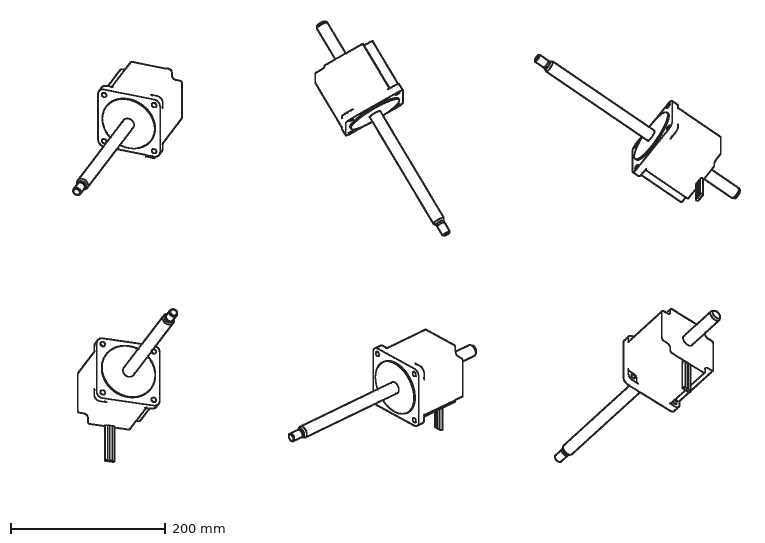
import cadquery as cq

frame = 86.31
housing_length = 78.6
flange_thickness = 9.9
mount_pitch = 69.6
mount_hole_diameter = 6.5
flange_corner_radius = (frame - mount_pitch) / 2
pilot_diameter = 73.025
pilot_height = 2.0

notch_wall = 14.0
notch_inner_radius = 5.5
notch_outer_radius = 3.0

wire_count = 4
wire_diameter = 4.0
wire_pitch = 3.0
wire_back_gap = 0.3
wire_length = 50.0

total_length = 323.85
shaft_diameter = 15.875
shaft_back_length = 58.7
taper_length = 2.9
taper_end_diameter = 12.7
neck_length = 2.8
neck_diameter = 11.0
journal_length = 15.0
journal_diameter = 11.1
journal_chamfer_length = 1.0
journal_chamfer_depth = 1.3

half_frame = frame / 2
shaft_back = housing_length + shaft_back_length
shaft_front = shaft_back - total_length


def rod(diameter, start, end):
    """Round rod on the Y axis from Y = start to Y = end."""
    return cq.Workplane("XZ", origin=(0, start, 0)).circle(diameter / 2).extrude(start - end)


def corner_notch():
    """Notch for the +X +Z edge, with a rounded inner corner and rounded lips."""
    length = housing_length - flange_thickness
    wall = half_frame - notch_wall
    lip_start = wall - notch_outer_radius
    lip_end = half_frame - notch_outer_radius
    return (
        cq.Workplane("XZ", origin=(0, flange_thickness, 0))
        .moveTo(lip_start, half_frame)
        .radiusArc((wall, lip_end), notch_outer_radius)
        .lineTo(wall, wall + notch_inner_radius)
        .radiusArc((wall + notch_inner_radius, wall), -notch_inner_radius)
        .lineTo(lip_end, wall)
        .radiusArc((half_frame, lip_start), notch_outer_radius)
        .lineTo(half_frame, half_frame)
        .close()
        .extrude(-length)
    )


def lead_wires():
    """Row of round wires hanging from the bottom of the housing."""
    row_y = housing_length - wire_back_gap - wire_diameter / 2
    wires = cq.Workplane("XY")
    for index in range(wire_count):
        wire_x = (index - (wire_count - 1) / 2) * wire_pitch
        wire = cq.Workplane("XY", origin=(wire_x, row_y, -half_frame))
        wires = wires.union(wire.circle(wire_diameter / 2).extrude(-wire_length))
    return wires


def make_motor():
    """Housing with flange, pilot, mounting holes, shaft bore and lead wires."""
    motor = (
        cq.Workplane("XZ")
        .rect(frame, frame)
        .extrude(-flange_thickness)
        .edges("|Y")
        .fillet(flange_corner_radius)
    )
    case = cq.Workplane("XZ", origin=(0, flange_thickness, 0)).rect(frame, frame)
    case = case.extrude(flange_thickness - housing_length)
    notch = corner_notch()
    for quarter in range(4):
        case = case.cut(notch.rotate((0, 0, 0), (0, 1, 0), 90 * quarter))
    mount_holes = (
        cq.Workplane("XZ")
        .rect(mount_pitch, mount_pitch, forConstruction=True)
        .vertices()
        .circle(mount_hole_diameter / 2)
        .extrude(-flange_thickness)
    )
    motor = motor.union(case).union(rod(pilot_diameter, -pilot_height, 0))
    motor = motor.cut(mount_holes).cut(rod(shaft_diameter, -pilot_height, housing_length))
    return motor.union(lead_wires())


def make_shaft():
    """Stepped shaft turned about the Y axis."""
    shaft_radius = shaft_diameter / 2
    journal_radius = journal_diameter / 2
    journal_start = shaft_front + journal_length
    neck_end = journal_start + neck_length
    taper_start = neck_end + taper_length
    profile = (
        cq.Workplane("XY")
        .moveTo(0, shaft_front)
        .lineTo(-journal_radius + journal_chamfer_depth, shaft_front)
        .lineTo(-journal_radius, shaft_front + journal_chamfer_length)
        .lineTo(-journal_radius, journal_start)
        .lineTo(-neck_diameter / 2, journal_start)
        .lineTo(-neck_diameter / 2, neck_end)
        .lineTo(-taper_end_diameter / 2, neck_end)
        .lineTo(-shaft_radius, taper_start)
        .lineTo(-shaft_radius, shaft_back - taper_length)
        .lineTo(-taper_end_diameter / 2, shaft_back)
        .lineTo(0, shaft_back)
        .close()
    )
    return profile.revolve(360, (0, 0, 0), (0, 1, 0))


motor = make_motor()
shaft = make_shaft()

result = cq.Compound.makeCompound([motor.val(), shaft.val()])